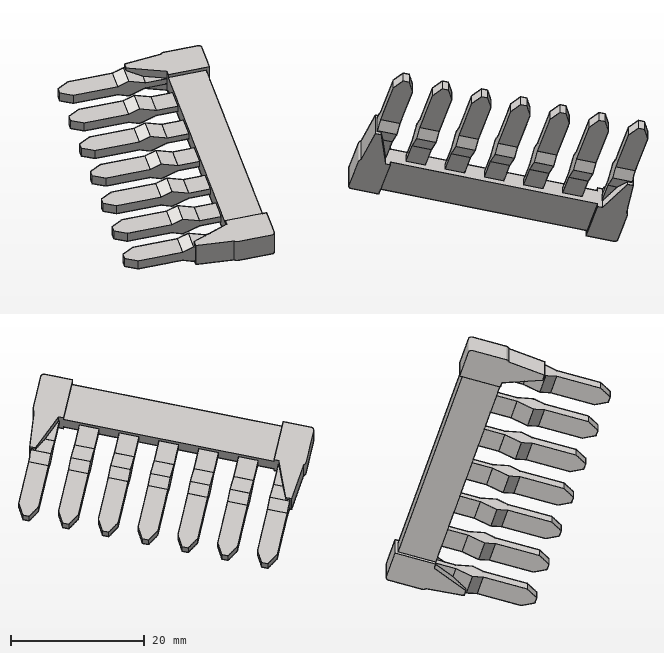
import cadquery as cq

OVERALL_WIDTH = 41.8
OVERALL_DEPTH = 22.78
HALF_WIDTH = OVERALL_WIDTH / 2
REAR_Y = OVERALL_DEPTH / 2

BAR_THICKNESS = 2.8
BAR_REAR_DEPTH = 0.5
BAR_FRONT_DEPTH = 6.4

CAP_THICKNESS = 4.0
CAP_WIDTH = 4.8
CAP_CORNER_RADIUS = 0.5
CAP_SHOULDER_DEPTH = 5.75
CAP_STEP_DEPTH = 6.3
CAP_STEP_INSET = 0.27
LEG_ROOT_INSET = 4.05
LEG_TIP_INNER_INSET = 1.75
LEG_TIP_OUTER_INSET = 0.85
LEG_TIP_DEPTH = 12.1

PIN_COUNT = 7
PIN_PITCH = 6.09
PIN_WIDTH = 3.03
PIN_ROOT_THICKNESS = 1.1
PIN_THICKNESS = 1.7
PIN_CREST_THICKNESS = 3.1
PIN_RISE_DEPTH = 9.75
PIN_CREST_DEPTH = 12.35
PIN_FALL_DEPTH = 14.05
PIN_TAPER_DEPTH = 20.95
PIN_TIP_WIDTH = 0.95


def y_at(depth):
    """Y coordinate at a depth in front of the rear face."""
    return REAR_Y - depth


def make_bar():
    """Plain bar joining the end caps."""
    depth = BAR_FRONT_DEPTH - BAR_REAR_DEPTH
    middle_y = y_at((BAR_FRONT_DEPTH + BAR_REAR_DEPTH) / 2)
    length = OVERALL_WIDTH - CAP_WIDTH
    return cq.Workplane("XY").box(length, depth, BAR_THICKNESS).translate((0, middle_y, 0))


def make_left_cap():
    """End cap with a rounded outer rear corner, a rounded shoulder and a tapered leg."""
    outer_x = -HALF_WIDTH
    inner_x = outer_x + CAP_WIDTH
    front_y = y_at(BAR_FRONT_DEPTH)
    leg_tip_y = y_at(LEG_TIP_DEPTH)
    outline = (
        cq.Workplane("XY")
        .moveTo(outer_x, REAR_Y)
        .lineTo(outer_x, y_at(CAP_SHOULDER_DEPTH))
        .tangentArcPoint((outer_x + CAP_STEP_INSET, y_at(CAP_STEP_DEPTH)), relative=False)
        .lineTo(outer_x + LEG_TIP_OUTER_INSET, leg_tip_y)
        .lineTo(outer_x + LEG_TIP_INNER_INSET, leg_tip_y)
        .lineTo(outer_x + LEG_ROOT_INSET, front_y)
        .lineTo(inner_x, front_y)
        .lineTo(inner_x, REAR_Y)
        .close()
    )
    blank = outline.extrude(CAP_THICKNESS / 2, both=True)
    return blank.edges("|Z and >Y").edges("<X").fillet(CAP_CORNER_RADIUS)


def make_pin():
    """Pin centred on X = 0: thin at the root, thickened to a crest, narrowed at the tip."""
    root = PIN_ROOT_THICKNESS / 2
    half = PIN_THICKNESS / 2
    crest = PIN_CREST_THICKNESS / 2
    upper_edge = [
        (y_at(BAR_FRONT_DEPTH), root),
        (y_at(PIN_RISE_DEPTH), root),
        (y_at(PIN_CREST_DEPTH), crest),
        (y_at(PIN_FALL_DEPTH), half),
        (y_at(OVERALL_DEPTH), half),
    ]
    lower_edge = [(y, -z) for y, z in reversed(upper_edge)]
    side = cq.Workplane("YZ").polyline(upper_edge + lower_edge).close()
    body = side.extrude(PIN_WIDTH / 2, both=True)

    right_edge = [
        (PIN_WIDTH / 2, y_at(BAR_FRONT_DEPTH)),
        (PIN_WIDTH / 2, y_at(PIN_TAPER_DEPTH)),
        (PIN_TIP_WIDTH / 2, y_at(OVERALL_DEPTH)),
    ]
    left_edge = [(-x, y) for x, y in reversed(right_edge)]
    plan = cq.Workplane("XY").polyline(right_edge + left_edge).close()
    return body.intersect(plan.extrude(PIN_CREST_THICKNESS, both=True))


left_cap = make_left_cap()
result = make_bar().union(left_cap).union(left_cap.mirror("YZ"))

pin = make_pin()
for index in range(PIN_COUNT):
    pin_x = (index - (PIN_COUNT - 1) / 2) * PIN_PITCH
    result = result.union(pin.translate((pin_x, 0, 0)))